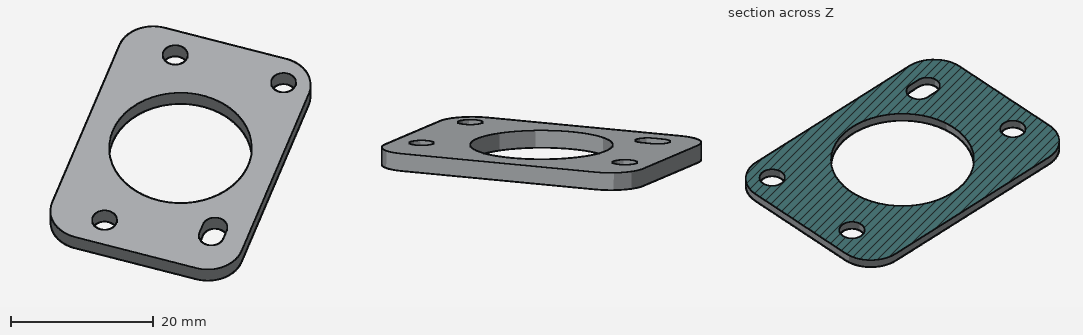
import cadquery as cq

width = 28.0
length = 40.0
thickness = 2.5
corner_radius = 5.0

bore_diameter = 20.0

hole_diameter = 3.5
hole_row_spacing = 31.55
left_hole_x = -6.0
right_hole_x = 10.0
hole_row_y = hole_row_spacing / 2
hole_centers = [
    (left_hole_x, hole_row_y),
    (right_hole_x, hole_row_y),
    (left_hole_x, -hole_row_y),
]

slot_center = (9.1, -12.95)
slot_length = 5.1
slot_angle = 90.0


def rounded_plate():
    """Flat plate with rounded vertical corners."""
    plate = cq.Workplane("XY").box(width, length, thickness)
    return plate.edges("|Z").fillet(corner_radius)


def cut_round_holes(body, centers, diameter):
    """Cut round through holes at the given centres."""
    return body.faces(">Z").workplane(centerOption="ProjectedOrigin").pushPoints(centers).hole(diameter)


def cut_slot(body):
    """Cut the slot that takes the place of a fourth mounting hole."""
    top = body.faces(">Z").workplane(centerOption="ProjectedOrigin")
    return top.center(*slot_center).slot2D(slot_length, hole_diameter, slot_angle).cutThruAll()


result = rounded_plate()
result = cut_round_holes(result, [(0, 0)], bore_diameter)
result = cut_round_holes(result, hole_centers, hole_diameter)
result = cut_slot(result)